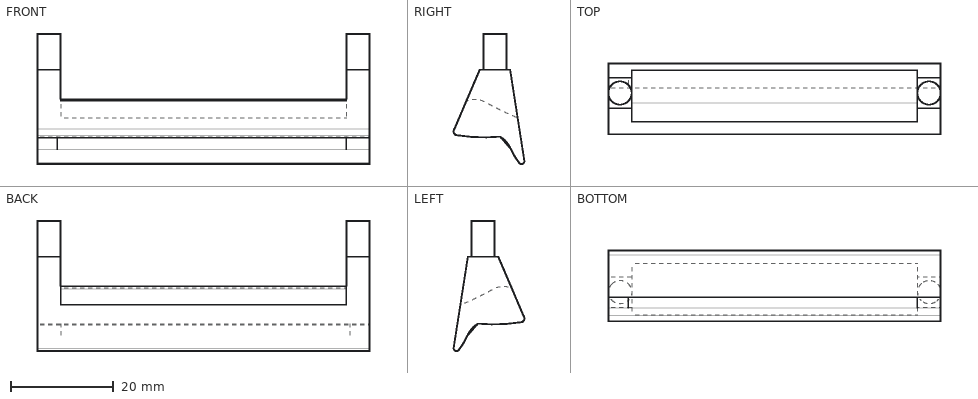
import cadquery as cq

length = 64.55
height = 25.3
leg_width = 4.5
pin_diameter = 4.5
pin_height = 7.0
leg_top = height - pin_height
leg_half_depth = 3.0

nose_upper = (-7.9, 6.85)
nose_tip = (-7.95, 5.95)
nose_lower = (-7.2, 5.55)
lip_rear = (5.75, 0.6)
lip_bottom = (5.3, 0.0)
lip_front = (4.6, 0.4)

belly_middle = (-3.0, 5.15)
belly_rear = (1.05, 5.3)
hollow_middle = (2.3, 4.2)
hollow_end = (3.1, 2.9)

grip_front = (-5.7, 12.2)
grip_crest = (-3.8, 12.6)
grip_slope_start = (-1.95, 12.1)
grip_rear = (4.45, 9.0)
cut_overhang = 3.2

strip_left_inset = 3.9


def extrude_along_x(profile, start, end):
    """Extrude a closed YZ profile between two X positions."""
    return profile.extrude(end - start).translate((start, 0, 0))


def make_body():
    """Tapered section running the full length."""
    profile = (
        cq.Workplane("YZ")
        .moveTo(leg_half_depth, leg_top)
        .lineTo(-leg_half_depth, leg_top)
        .lineTo(*nose_upper)
        .threePointArc(nose_tip, nose_lower)
        .threePointArc(belly_middle, belly_rear)
        .threePointArc(hollow_middle, hollow_end)
        .tangentArcPoint(lip_front, relative=False)
        .threePointArc(lip_bottom, lip_rear)
        .close()
    )
    return extrude_along_x(profile, -length / 2, length / 2)


def make_hand_opening():
    """Space between the legs above the grip."""
    front = nose_upper[0] - cut_overhang
    rear = lip_rear[0] + cut_overhang
    profile = (
        cq.Workplane("YZ")
        .moveTo(front, height)
        .lineTo(front, grip_front[1])
        .lineTo(*grip_front)
        .threePointArc(grip_crest, grip_slope_start)
        .tangentArcPoint(grip_rear, relative=False)
        .lineTo(rear, grip_rear[1])
        .lineTo(rear, height)
        .close()
    )
    half_span = length / 2 - leg_width
    return extrude_along_x(profile, -half_span, half_span)


def make_strip():
    """Flat-faced filler in the hollow, rooted inside the body."""
    root = (hollow_end[0], belly_rear[1])
    profile = cq.Workplane("YZ").polyline([belly_rear, hollow_end, root]).close()
    return extrude_along_x(profile, -length / 2 + strip_left_inset, length / 2 - leg_width)


def make_pins():
    """One mounting pin centred on each leg."""
    pin_x = (length - leg_width) / 2
    return (
        cq.Workplane("XY", origin=(0, 0, leg_top))
        .pushPoints([(-pin_x, 0), (pin_x, 0)])
        .circle(pin_diameter / 2)
        .extrude(pin_height)
    )


result = make_body().cut(make_hand_opening()).union(make_strip()).union(make_pins())